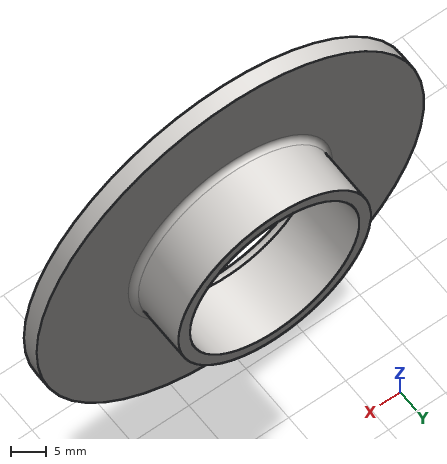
import cadquery as cq
import math

flange_radius = 68.0 / 2
flange_thickness = 3.0
total_length = 13.3
sleeve_radius = 33.8 / 2
bore_radius = 29.7 / 2
mouth_rim_radius = 35.4 / 2
mouth_round = 3.0
root_fillet = 1.0

mouth_width = mouth_rim_radius - bore_radius
mouth_depth = mouth_round - math.sqrt(mouth_round**2 - mouth_width**2)

half_section = (
    cq.Workplane("XY")
    .moveTo(mouth_rim_radius, 0)
    .lineTo(flange_radius, 0)
    .lineTo(flange_radius, flange_thickness)
    .lineTo(sleeve_radius + root_fillet, flange_thickness)
    .radiusArc((sleeve_radius, flange_thickness + root_fillet), root_fillet)
    .lineTo(sleeve_radius, total_length)
    .lineTo(bore_radius, total_length)
    .lineTo(bore_radius, mouth_depth)
    .radiusArc((mouth_rim_radius, 0), -mouth_round)
    .close()
)

result = half_section.revolve(360, (0, 0, 0), (0, 1, 0))